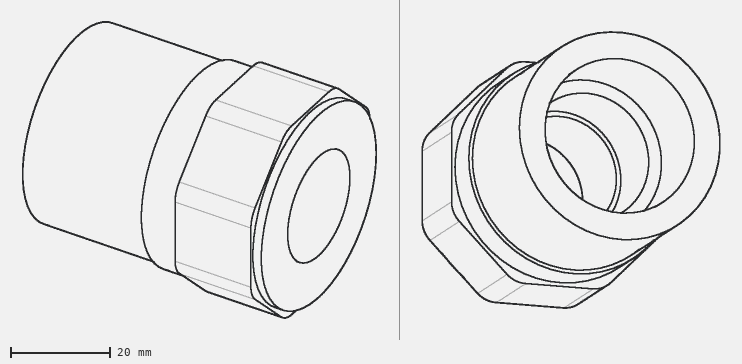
import cadquery as cq
import math

length = 57.0
pipe_diameter = 43.0
collar_diameter = 44.5
across_flats = 46.0
side_count = 8
corner_radius = 5.6

collar_start = 28.6
nut_start = 37.05
nut_end = 55.0

socket_diameter = 32.0
socket_depth = 20.05
counterbore_diameter = 26.5
bore_diameter = 24.1
seat_base = nut_start
seat_angle = 60.0
seat_height = (counterbore_diameter - bore_diameter) / 2 / math.tan(math.radians(seat_angle))


def cylinder(diameter, start, end):
    """Solid cylinder on the X axis between two stations."""
    return cq.Workplane("YZ").workplane(offset=start).circle(diameter / 2).extrude(end - start)


def octagonal_nut():
    """Octagonal grip with flats square to Y and Z and rounded corners."""
    across_corners = across_flats / math.cos(math.pi / side_count)
    half_side_angle = 180 / side_count
    return (
        cq.Workplane("YZ")
        .workplane(offset=nut_start)
        .transformed(rotate=(0, 0, half_side_angle))
        .polygon(side_count, across_corners)
        .extrude(nut_end - nut_start)
        .edges("|X")
        .fillet(corner_radius)
    )


def seat_cone():
    """Frustum facing -X, raised from the counterbore floor; its tip meets the through bore."""
    return (
        cq.Workplane("YZ")
        .workplane(offset=seat_base)
        .circle(counterbore_diameter / 2)
        .workplane(offset=-seat_height)
        .circle(bore_diameter / 2)
        .loft()
    )


body = cylinder(pipe_diameter, 0, collar_start)
body = body.union(cylinder(collar_diameter, collar_start, length))
body = body.union(octagonal_nut())

socket = cylinder(socket_diameter, 0, socket_depth)
counterbore = cylinder(counterbore_diameter, socket_depth, seat_base).cut(seat_cone())
bore = cylinder(bore_diameter, socket_depth, length)

result = body.cut(socket).cut(counterbore).cut(bore)